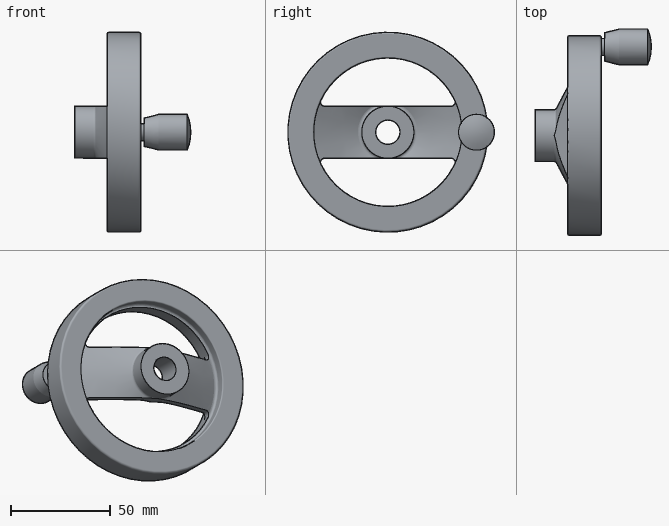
import cadquery as cq
import math

rim_diameter = 100.0
rim_front = 16.2
rim_width = 16.9
rim_back = rim_front + rim_width
rim_front_bore_radius = 77.0 / 2
rim_back_bore_diameter = 74.0
rim_outer_rounding = 1.0
rim_bore_rounding = 0.6

hub_radius = 26.0 / 2
shaft_hole_diameter = 12.0
hub_back = 17.3

web_angle = 27.4
web_start = 10.3
web_thickness = 5.0
web_fillet = 1.2
window_corner_radius = 2.1
spoke_width = 2 * hub_radius
web_rise = (rim_front_bore_radius - hub_radius) * math.tan(math.radians(web_angle))
web_end = web_start + web_rise

part_width_y = 103.3
handle_radius = 18.0 / 2
handle_y = part_width_y - rim_diameter / 2 - handle_radius
handle_neck_radius = 8.7 / 2
handle_cone_radius = 7.1
handle_cone_start = 34.7
handle_grip_start = 42.0
handle_grip_end = 56.3
handle_end = 58.1


def disc(diameter, start, end):
    """Solid cylinder on the wheel axis between two X positions."""
    return cq.Workplane("YZ", origin=(start, 0, 0)).circle(diameter / 2).extrude(end - start)


def make_rim():
    """Ring with rounded edges, its bore wider in front of the web than behind it."""
    rim = disc(rim_diameter, rim_front, rim_back)
    rim = rim.cut(disc(rim_back_bore_diameter, rim_front, rim_back))
    rim = rim.cut(disc(2 * rim_front_bore_radius, rim_front, web_end))
    rim = rim.edges(cq.selectors.RadiusNthSelector(-1)).fillet(rim_outer_rounding)
    for face in ("<X", ">X"):
        bore_edge = cq.selectors.RadiusNthSelector(0)
        rim = rim.faces(face).edges(bore_edge).fillet(rim_bore_rounding)
    return rim


def make_hub_and_web():
    """Revolved hub and web, with the web ending inside the rim."""
    profile = [
        (0, 0),
        (0, hub_radius),
        (web_start, hub_radius),
        (web_end, rim_front_bore_radius),
        (web_end + web_thickness, rim_front_bore_radius),
        (web_start + web_thickness, hub_radius),
        (hub_back, hub_radius),
        (hub_back, 0),
    ]
    return cq.Workplane("XY").polyline(profile).close().revolve(360, (0, 0, 0), (1, 0, 0))


def circle_at(x, radius):
    """Selector for the circular edge of a given radius around X, at a given X."""
    tolerance = 0.01
    reach = radius + tolerance
    return cq.selectors.BoxSelector(
        (x - tolerance, -reach, -reach), (x + tolerance, reach, reach), boundingbox=True)


def make_windows():
    """Two openings through the web, one on each side of the spokes."""
    spokes = cq.Workplane("XY").box(4 * rim_diameter, rim_diameter, spoke_width)
    openings = disc(rim_back_bore_diameter, 0, rim_back).cut(spokes)
    return openings.edges("|X").fillet(window_corner_radius)


def make_handle():
    """Revolved neck, tapered collar and grip with a domed end."""
    chord = handle_radius
    sag = handle_end - handle_grip_end
    dome_radius = (chord**2 + sag**2) / (2 * sag)
    half_angle = math.asin(chord / dome_radius) / 2
    dome_middle = (
        handle_end - dome_radius * (1 - math.cos(half_angle)),
        dome_radius * math.sin(half_angle),
    )
    half_profile = (
        cq.Workplane("XY")
        .moveTo(rim_back - rim_outer_rounding, 0)
        .lineTo(rim_back - rim_outer_rounding, handle_neck_radius)
        .lineTo(handle_cone_start, handle_neck_radius)
        .lineTo(handle_cone_start, handle_cone_radius)
        .lineTo(handle_grip_start, handle_radius)
        .lineTo(handle_grip_end, handle_radius)
        .threePointArc(dome_middle, (handle_end, 0))
        .close()
    )
    return half_profile.revolve(360, (0, 0, 0), (1, 0, 0)).translate((0, handle_y, 0))


wheel = make_hub_and_web().union(make_rim())
web_corners = [
    (web_start, hub_radius),
    (web_end, rim_front_bore_radius),
    (web_start + web_thickness, hub_radius),
]
for corner_x, corner_radius in web_corners:
    wheel = wheel.edges(circle_at(corner_x, corner_radius)).fillet(web_fillet)
wheel = wheel.cut(make_windows())
shaft_hole = disc(shaft_hole_diameter, 0, rim_back)
result = wheel.cut(shaft_hole).union(make_handle())